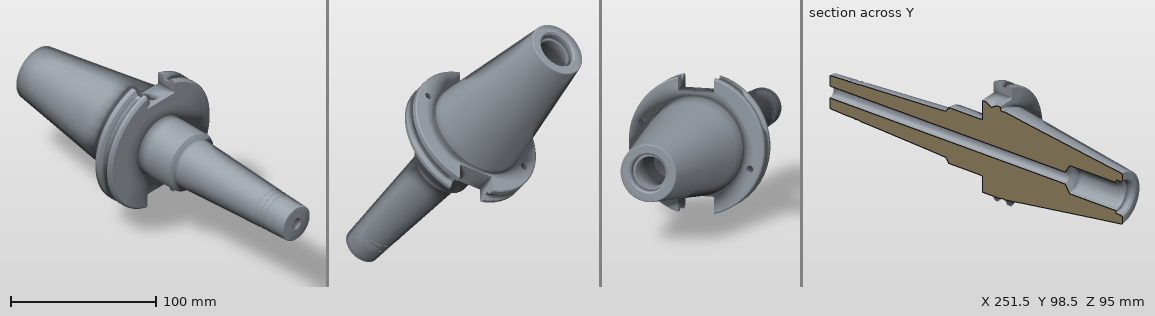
import cadquery as cq
import math

total_length = 251.5
shank_length = 101.6
gauge_radius = 35.0
taper_slope = 7 / 24 / 2
shank_end_radius = gauge_radius - shank_length * taper_slope
shank_end_round = 0.8

relief_radius = 69.2 / 2
relief_step = 0.8
relief_flare_length = 1.0

flange_start = 104.7
flange_end = 120.5
flange_radius = 98.5 / 2
flange_front_chamfer = 0.8
flange_back_chamfer = 1.5
groove_center = 112.7
groove_floor_radius = 45.8
groove_floor_width = 4.0
groove_wall_angle = 30

slot_width = 26.2
slot_corner_fillet = 0.8
top_slot_floor = 37.5
bottom_slot_floor = 35.2
dimple_diameter = 9.5
drill_tip_angle = 118

collar_radius = 44.5 / 2
collar_root_radius = 22.6
collar_root_length = 2.8
collar_end = 149.5
nose_start = 152.0
shoulder_fillet = 1.3
nose_root_radius = 18.4
nose_tip_radius = 13.3
nose_tip_chamfer = 0.5

ring_first = 225.5
ring_gap = 0.5
ring_widths = (4.0, 4.0, 2.0)
ring_depth = 0.3

mouth_radius = 28.5 / 2
pilot_radius = 26.2 / 2
pilot_depth = 5.5
thread_radius = 22.0 / 2
thread_depth = 45.3
through_radius = 9.0 / 2

coolant_angle = 20
coolant_circle_radius = 41.5
coolant_mouth_diameter = 5.0
coolant_mouth_depth = 2.5
coolant_diameter = 4.0
radial_diameter = 3.3


def revolve_about_x(points):
    profile = cq.Workplane("XY").polyline(points).close()
    return profile.revolve(360, (0, 0, 0), (1, 0, 0))


def drill_tip_length(radial_span):
    return radial_span / math.tan(math.radians(drill_tip_angle / 2))


def shank():
    body = revolve_about_x([
        (0, 0),
        (0, shank_end_radius),
        (shank_length, gauge_radius),
        (shank_length + relief_step, relief_radius),
        (flange_start - relief_flare_length, relief_radius),
        (flange_start, gauge_radius),
        (flange_start, 0),
    ])
    return body.faces("<X").edges().fillet(shank_end_round)


def flange():
    groove_depth = flange_radius - groove_floor_radius
    half_floor = groove_floor_width / 2
    half_mouth = half_floor + groove_depth * math.tan(math.radians(groove_wall_angle))
    return revolve_about_x([
        (flange_start, 0),
        (flange_start, flange_radius - flange_front_chamfer),
        (flange_start + flange_front_chamfer, flange_radius),
        (groove_center - half_mouth, flange_radius),
        (groove_center - half_floor, groove_floor_radius),
        (groove_center + half_floor, groove_floor_radius),
        (groove_center + half_mouth, flange_radius),
        (flange_end - flange_back_chamfer, flange_radius),
        (flange_end, flange_radius - flange_back_chamfer),
        (flange_end, 0),
    ])


def nose():
    body = revolve_about_x([
        (flange_end, 0),
        (flange_end, collar_root_radius),
        (flange_end + collar_root_length, collar_radius),
        (collar_end, collar_radius),
        (nose_start, nose_root_radius),
        (total_length - nose_tip_chamfer, nose_tip_radius),
        (total_length, nose_tip_radius - nose_tip_chamfer),
        (total_length, 0),
    ])
    shoulder_edges = cq.selectors.BoxSelector(
        (collar_end - shoulder_fillet, -flange_radius, -flange_radius),
        (nose_start + shoulder_fillet, flange_radius, flange_radius),
    )
    return body.edges("%CIRCLE").edges(shoulder_edges).fillet(shoulder_fillet)


def nose_radius(x):
    fraction = (x - nose_start) / (total_length - nose_start)
    return nose_root_radius + fraction * (nose_tip_radius - nose_root_radius)


def marking_ring(start, width):
    floor_start = nose_radius(start) - ring_depth
    floor_end = nose_radius(start + width) - ring_depth
    return revolve_about_x([
        (start, floor_start),
        (start, nose_root_radius),
        (start + width, nose_root_radius),
        (start + width, floor_end),
    ])


def drive_slot(floor, direction):
    height = flange_radius
    width_x = flange_end - flange_start
    slot = cq.Workplane("XY").box(width_x, slot_width, height)
    floor_side = "<Z" if direction > 0 else ">Z"
    slot = slot.faces(floor_side).edges("|X").fillet(slot_corner_fillet)
    return slot.translate(((flange_start + flange_end) / 2, 0, direction * (floor + height / 2)))


def dimple():
    radius = dimple_diameter / 2
    depth = drill_tip_length(radius)
    cone = cq.Solid.makeCone(0, radius, depth)
    return cq.Workplane(cone.translate(cq.Vector(groove_center, 0, top_slot_floor - depth)))


def bore():
    mouth_chamfer = mouth_radius - pilot_radius
    thread_tip = drill_tip_length(thread_radius - through_radius)
    return revolve_about_x([
        (0, 0),
        (0, mouth_radius),
        (mouth_chamfer, pilot_radius),
        (pilot_depth, pilot_radius),
        (pilot_depth, thread_radius),
        (thread_depth, thread_radius),
        (thread_depth + thread_tip, through_radius),
        (total_length, through_radius),
        (total_length, 0),
    ])


def axial_hole(diameter, depth):
    face = cq.Workplane("YZ", origin=(flange_start, coolant_circle_radius, 0))
    return face.circle(diameter / 2).extrude(depth)


def coolant_hole(side_angle):
    axial = axial_hole(coolant_diameter, groove_center - flange_start)
    mouth = axial_hole(coolant_mouth_diameter, coolant_mouth_depth)
    radial = (
        cq.Workplane("XZ", origin=(groove_center, flange_radius, 0))
        .circle(radial_diameter / 2).extrude(flange_radius - coolant_circle_radius)
    )
    hole = axial.union(mouth).union(radial)
    return hole.rotate((0, 0, 0), (1, 0, 0), coolant_angle + side_angle)


result = shank().union(flange()).union(nose())
result = result.cut(drive_slot(top_slot_floor, 1)).cut(drive_slot(bottom_slot_floor, -1))
result = result.cut(dimple()).cut(bore())
ring_start = ring_first
for ring_width in ring_widths:
    result = result.cut(marking_ring(ring_start, ring_width))
    ring_start += ring_width + ring_gap
for side_angle in (0, 180):
    result = result.cut(coolant_hole(side_angle))